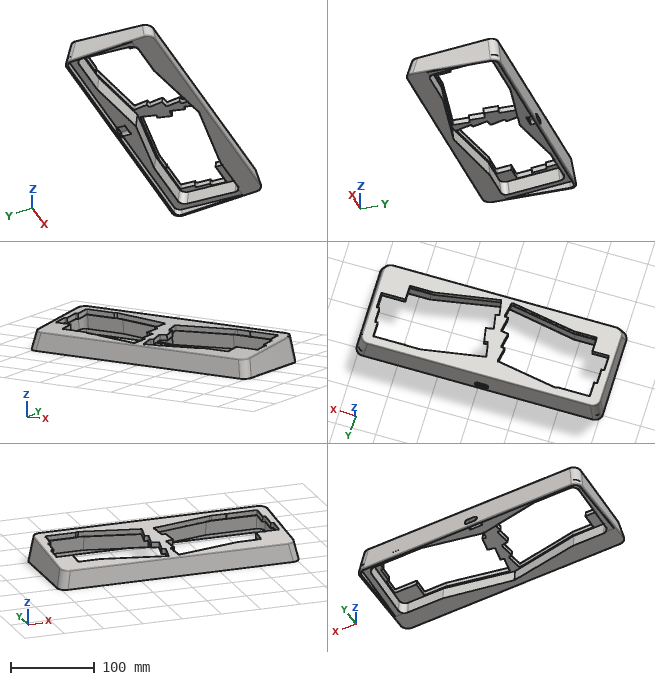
import cadquery as cq
import math

base_width = 307.01
base_depth = 118.01
corner_radius = 10.0
side_inset = 5.0
tilt = 6.0
back_height = 34.5
edge_round = 1.0

plate_thickness = 7.0
row_pitch = 19.05
row_count = 4
key_clearance = 0.5
opening_corner_radius = 1.0
splay = 10.0
outer_rear = 42.4
outer_reach = 141.5
outer_stagger = 3.4
left_inner_rear = 26.85
right_inner_rear = 28.75
left_row_end = -21.6
right_row_end = -3.2
left_row_steps = (0, 0.25, 0.75, 1.0)
right_row_steps = (0, -0.25, 0.25, 0.5)
left_block_edge = 120.9
right_block_edge = 111.7
left_rear_peak = 92.5
left_rear_foot = 95.7
right_rear_bend = 73.5
right_rear_straight = 76.7
right_rear_step = 95.5
right_rear_rise = 0.2

cavity_corner_radius = 8.0
cavity_rear_clearance = 1.3
cavity_left_clearance = 1.4
cavity_right_clearance = 2.1
cavity_side_clearance = 1.3
recess_depth = 25.4
recess_wall = 3.0
recess_corner_radius = corner_radius - recess_wall

port_width = 16.5
port_height = 8.0
port_x = -4.6
port_z = 9.0
port_inner_y = 45.0

sin_tilt = math.sin(math.radians(tilt))
cos_tilt = math.cos(math.radians(tilt))
sin_splay = math.sin(math.radians(splay))
cos_splay = math.cos(math.radians(splay))

top_width = base_width - 2 * side_inset
top_depth = (base_depth - 2 * side_inset) / cos_tilt
top_centre_height = back_height - top_depth / 2 * sin_tilt


def plane_below_top(depth):
    """Plane parallel to the tilted top face, at a depth below it."""
    return cq.Plane(
        origin=(0, depth * sin_tilt, top_centre_height - depth * cos_tilt),
        xDir=(1, 0, 0),
        normal=(0, -sin_tilt, cos_tilt),
    )


def rounded_rectangle(plane, width, depth):
    """Closed wire of a rectangle with the shell's corner radius."""
    block = cq.Workplane("XY").rect(width, depth).extrude(1).edges("|Z").fillet(corner_radius)
    return block.faces("<Z").wires().val().moved(cq.Location(plane))


def shell():
    """Solid outer body with its top and bottom edges rounded."""
    base_wire = rounded_rectangle(cq.Plane.XY(), base_width, base_depth)
    top_wire = rounded_rectangle(plane_below_top(0), top_width, top_depth)
    body = cq.Workplane(cq.Solid.makeLoft([base_wire, top_wire], True))
    body = body.faces("<Z").edges().fillet(edge_round)
    highest_along_tilt = cq.selectors.DirectionMinMaxSelector(plane_below_top(0).zDir, True)
    return body.faces(highest_along_tilt).edges().fillet(edge_round)


def turn_at(before, corner, after):
    """Signed change of direction at a corner, in radians; left turns are positive."""
    heading_in = math.atan2(corner[1] - before[1], corner[0] - before[0])
    heading_out = math.atan2(after[1] - corner[1], after[0] - corner[0])
    return math.remainder(heading_out - heading_in, 2 * math.pi)


def toward(start, end, distance):
    """Point at the given distance from start along the line to end."""
    ratio = distance / math.dist(start, end)
    return (start[0] + (end[0] - start[0]) * ratio, start[1] + (end[1] - start[1]) * ratio)


def rounded_outline(plane, corners, radius):
    """Closed anticlockwise outline; square outward corners are rounded, all others stay sharp."""
    smallest_rounded_turn = math.radians(60)
    outline = None
    for index, corner in enumerate(corners):
        before = corners[index - 1]
        after = corners[(index + 1) % len(corners)]
        turn = turn_at(before, corner, after)
        is_rounded = turn > smallest_rounded_turn
        arc_start = corner
        if is_rounded:
            arc_start = toward(corner, before, radius * math.tan(turn / 2))
        if outline is None:
            outline = cq.Workplane(plane).moveTo(*arc_start)
        else:
            outline = outline.lineTo(*arc_start)
        if is_rounded:
            arc_end = toward(corner, after, radius * math.tan(turn / 2))
            chord_middle = toward(arc_start, arc_end, math.dist(arc_start, arc_end) / 2)
            arc_middle = toward(corner, chord_middle, radius / math.cos(turn / 2) - radius)
            outline = outline.threePointArc(arc_middle, arc_end)
    return outline.close()


def splayed(along, across):
    """Turn a point of the left inner key block into plate coordinates."""
    return (along * cos_splay + across * sin_splay, across * cos_splay - along * sin_splay)


def splayed_line_y(x, across):
    """Y at which a row line of the left inner key block passes x."""
    return (across - x * sin_splay) / cos_splay


def splayed_line_x(y, across):
    """X at which a row line of the left inner key block passes y."""
    return (across - y * cos_splay) / sin_splay


def mirrored(corners):
    """Reflect an outline about the centre plane, keeping it anticlockwise."""
    return [(-x, y) for x, y in reversed(corners)]


def row_boundaries(rear, row_widens):
    """Opening edges between rows, rear first; the wider row of each pair keeps its clearance."""
    boundaries = []
    for row, widens in enumerate(row_widens):
        clearance = key_clearance if widens else -key_clearance
        boundaries.append(rear - row * row_pitch + clearance)
    return boundaries


outer_rows = row_boundaries(outer_rear, (True, True, True, False, False))
opening_rear = outer_rows[0]
opening_front = outer_rows[row_count]


def inner_boundaries(inner_rear, steps):
    """Row boundaries of an inner key block whose row ends follow the given steps."""
    widens = [True] + [steps[row] > steps[row - 1] for row in range(1, row_count)] + [False]
    return row_boundaries(inner_rear, widens)


def opening_outline(rear_corners, inner_rows, row_end, steps, block_edge):
    """Anticlockwise outline of an opening on the left side, starting with its rear corners."""
    corners = list(rear_corners)
    block_row = row_count - 1
    for row in range(block_row):
        side = -outer_reach + (block_row - 1 - row) * outer_stagger
        corners.append((side, outer_rows[row]))
        corners.append((side, outer_rows[row + 1]))
    corners.append((-block_edge, outer_rows[block_row]))
    corners.append((-block_edge, opening_front))
    corners.append((splayed_line_x(opening_front, inner_rows[row_count]), opening_front))
    for row in reversed(range(row_count)):
        end = row_end + steps[row] * row_pitch
        corners.append(splayed(end, inner_rows[row + 1]))
        corners.append(splayed(end, inner_rows[row]))
    return corners


left_rows = inner_boundaries(left_inner_rear, left_row_steps)
right_rows = inner_boundaries(right_inner_rear, right_row_steps)


def left_opening():
    peak_y = splayed_line_y(-left_rear_peak, left_rows[0])
    rear_corners = [(-left_rear_peak, peak_y), (-left_rear_foot, opening_rear)]
    return opening_outline(rear_corners, left_rows, left_row_end, left_row_steps, left_block_edge)


def right_opening():
    raised_rear = opening_rear + right_rear_rise
    rear_corners = [
        (-right_rear_bend, splayed_line_y(-right_rear_bend, right_rows[0])),
        (-right_rear_straight, raised_rear),
        (-right_rear_step, raised_rear),
        (-right_rear_step, opening_rear),
    ]
    outline = opening_outline(rear_corners, right_rows, right_row_end, right_row_steps, right_block_edge)
    return mirrored(outline)


def cavity_outline():
    """Outline around both openings, with simple straight sides."""
    side = outer_reach + cavity_side_clearance
    rear = opening_rear + cavity_rear_clearance
    front = opening_front - cavity_rear_clearance
    left_rear = left_rows[0] + cavity_left_clearance
    right_rear = right_rows[0] + cavity_right_clearance
    left_front = left_rows[row_count] - cavity_left_clearance
    right_front = right_rows[row_count] - cavity_right_clearance
    rear_apex_x = (left_rear - right_rear) / (2 * sin_splay)
    front_apex_x = (left_front - right_front) / (2 * sin_splay)
    return [
        (side, rear),
        (-splayed_line_x(rear, right_rear), rear),
        (rear_apex_x, splayed_line_y(rear_apex_x, left_rear)),
        (splayed_line_x(rear, left_rear), rear),
        (-side, rear),
        (-side, front),
        (splayed_line_x(front, left_front), front),
        (front_apex_x, splayed_line_y(front_apex_x, left_front)),
        (-splayed_line_x(front, right_front), front),
        (side, front),
    ]


def cavity():
    """Space from the underside of the plate down through the base."""
    outline = rounded_outline(plane_below_top(plate_thickness), cavity_outline(), cavity_corner_radius)
    return outline.extrude(-2 * back_height)


def recess():
    """Wider space below the cavity; its roof is parallel to the top face and meets the base."""
    block = cq.Workplane("XY").rect(base_width - 2 * recess_wall, base_depth - 2 * recess_wall)
    block = block.extrude(back_height).edges("|Z").fillet(recess_corner_radius)
    above_roof = cq.Workplane(plane_below_top(recess_depth)).rect(2 * base_width, 2 * base_depth)
    return block.cut(above_roof.extrude(2 * back_height))


def port():
    """Round-ended connector slot through the rear wall into the recess."""
    slot = cq.Workplane("XZ", origin=(port_x, base_depth, port_z)).slot2D(port_width, port_height)
    return slot.extrude(base_depth - port_inner_y)


result = shell().cut(cavity()).cut(recess()).cut(port())
for outline in (left_opening(), right_opening()):
    opening = rounded_outline(plane_below_top(0), outline, opening_corner_radius)
    result = result.cut(opening.extrude(-2 * plate_thickness))